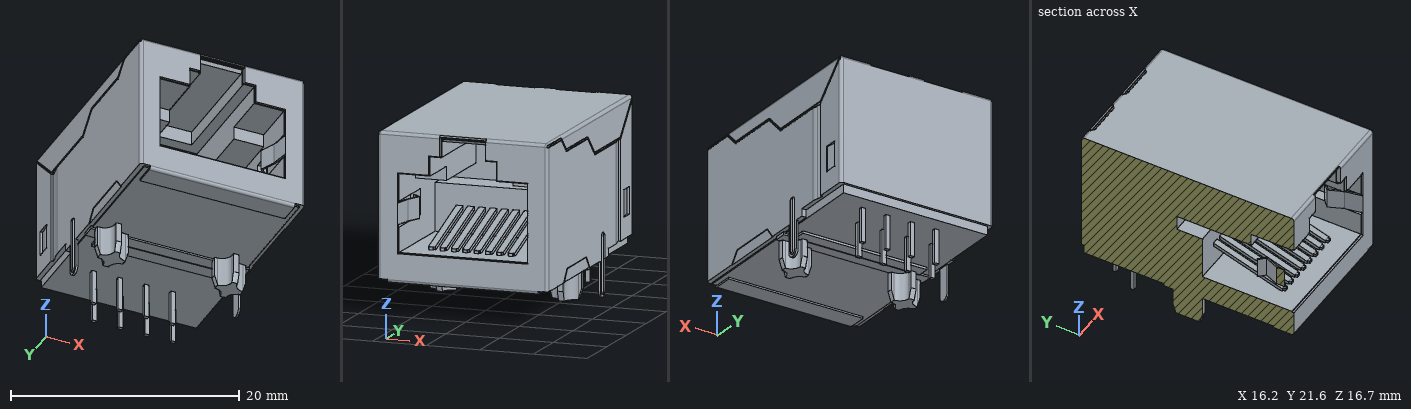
import cadquery as cq
import math


WIDTH = 16.18
LENGTH = 21.6
HEIGHT = 13.4
SHELL_HALF = 7.97
SHELL_BOTTOM = 0.13
SHEET = 0.2
BEND_RADIUS = 0.28
REAR_STEP_Y = 15.35
REAR_STEP_Z = 0.86
HOUSING_INSET = 0.24
HOUSING_HALF = 7.52
FRONT_TAB_HALF = 7.02
FRONT_TAB_LENGTH = 2.15
FRONT_TAB_DROP = 0.17

MOUTH_HALF = 6.07
SHOULDER_HALF = 3.2
LATCH_HALF = 2.15
MOUTH_FLOOR = 2.5
SHOULDER_Z = 9.75
LATCH_FLOOR = 11.47
LATCH_ROOF = 13.0
LIP = 0.09
CONTACT_WALL_Y = 9.29
CONTACT_WALL_TOP = 6.98
UPPER_WALL_Y = 11.88
SHOULDER_STOP_Y = 4.32
SHOULDER_STOP_Z = 8.4
LATCH_DEPTH = 10.8
LATCH_BEVEL = 0.25
LATCH_RIM_Z = 13.11
LATCH_RIM_LENGTH = 0.43

FINGER_Z = 5.08
FINGER_HEIGHT = 1.97
FINGER_SHEET = 0.17
FINGER_BEND_X = 5.75
FINGER_BEND_Y = 1.73
FINGER_TIP_X = 5.16
FINGER_TIP_Y = 3.13
FINGER_RETURN = 0.65
POCKET_Z = 4.85
POCKET_HEIGHT = 2.33
POCKET_LENGTH = 5.57
POCKET_DEPTH = 0.86

CONTACT_COUNT = 8
CONTACT_PITCH = 1.05
CONTACT_WIDTH = 0.63
CONTACT_TIP_WIDTH = 0.39
CONTACT_TIP_Y = 2.07
CONTACT_TIP_LENGTH = 0.43
CONTACT_THICKNESS = 0.35
CONTACT_REAR_TOP = 5.15

PIN_COUNT = 8
PIN_PITCH = 1.27
PIN_WIDTH = 0.43
PIN_THICKNESS = 0.35
PIN_ROWS_Y = (17.15, 19.7)
PIN_BOTTOM = -3.33

PEG_X = 5.68
PEG_Y = 10.8
PEG_RADIUS = 1.53
PEG_TIP_RADIUS = 1.23
PEG_ARM_HALF = 0.55 / 2
PEG_BOTTOM = -2.85
PEG_TAPER = 0.95

PAD_HALF = 6.48
PAD_FRONT_Y = 11.99
PAD_REAR_Y = 13.25
PAD_DROP = 0.24
STRIP_HALF = 7.67
STRIP_DROP = 0.17

LEG_Y = 13.87
LEG_WIDTH = 1.19
LEG_BOTTOM = -3.22
BEAD_WIDTH = 0.6
BEAD_TOP = 2.61
BEAD_BOTTOM = -2.98
BEAD_OUTER = WIDTH / 2
BEAD_BEVEL = 0.1

SEAM_DEPTH = 0.1
SEAM_GAP = 0.2
SEAM_TOP = 13.25
SEAM_MIDDLE = 11.97
SEAM_LOW = 10.17
SEAM_FRONT_Y = 3.41
SEAM_STEP_Y = 10.09
SEAM_REAR_Y = 18.34
JOG_LENGTH = 1.19
JOG_DEPTH = 0.2
WINDOW_Y = 19.29
WINDOW_LENGTH = 1.3
WINDOW_Z = 2.83
WINDOW_HEIGHT = 2.46
WINDOW_DEPTH = 0.22
WINDOW_STEP = 0.3
RELIEF_FRONT_Y = 4.1
RELIEF_REAR_Y = 10.6
RELIEF_TOP = 1.23
RELIEF_SLANT = 0.85
RELIEF_DEPTH = 0.06

NOTCH_INNER = 0.8
NOTCH_OUTER = 4.75
NOTCH_LENGTH = 0.52
NOTCH_SLANT = 0.28
NOTCH_DEPTH = 0.13
NOTCH_STEP_LENGTH = 0.25
NOTCH_STEP_DEPTH = 0.22


def block(x0, x1, y0, y1, z0, z1):
    return cq.Workplane("XY").box(x1 - x0, y1 - y0, z1 - z0, centered=False).translate((x0, y0, z0))


def centred_block(half, y0, y1, z0, z1):
    return block(-half, half, y0, y1, z0, z1)


def side_prism(points, x0, x1):
    """Extrude an outline of (y, z) points from x0 to x1."""
    return cq.Workplane("YZ").workplane(offset=x0).polyline(points).close().extrude(x1 - x0)


def both_sides(shape):
    return shape.union(shape.mirror("YZ"))


def spread(count, pitch):
    """Positions of a row centred on zero."""
    return [(i - (count - 1) / 2) * pitch for i in range(count)]


def make_body():
    shell = centred_block(SHELL_HALF, 0, LENGTH, SHELL_BOTTOM, HEIGHT)
    shell = shell.edges("|Z or >Z").fillet(BEND_RADIUS)
    shell = shell.cut(centred_block(SHELL_HALF, REAR_STEP_Y, LENGTH, 0, REAR_STEP_Z))
    housing = centred_block(HOUSING_HALF, HOUSING_INSET, LENGTH - HOUSING_INSET, 0, HEIGHT / 2)
    tab = centred_block(FRONT_TAB_HALF, 0, FRONT_TAB_LENGTH, -FRONT_TAB_DROP, MOUTH_FLOOR / 2)
    tab = tab.edges("<Y and <Z").fillet(BEND_RADIUS)
    pad = centred_block(PAD_HALF, PAD_FRONT_Y, PAD_REAR_Y, -PAD_DROP, SHEET)
    strip = centred_block(STRIP_HALF, PEG_Y, PAD_FRONT_Y, -STRIP_DROP, SHEET)
    return shell.union(housing).union(tab).union(pad).union(strip)


def opening_profile(inset, depth):
    """Stepped plug outline, shrunk by inset and cut to the given depth."""
    lower = centred_block(MOUTH_HALF - inset, 0, depth, MOUTH_FLOOR + inset, SHOULDER_Z - inset)
    middle = centred_block(SHOULDER_HALF - inset, 0, depth, MOUTH_FLOOR + inset, LATCH_FLOOR - inset)
    latch = centred_block(LATCH_HALF - inset, 0, depth, MOUTH_FLOOR + inset, LATCH_ROOF)
    return lower.union(middle).union(latch)


def make_cavity():
    cavity = opening_profile(LIP, UPPER_WALL_Y)
    contact_wall = centred_block(MOUTH_HALF, CONTACT_WALL_Y, UPPER_WALL_Y, 0, CONTACT_WALL_TOP)
    shoulder_stop = block(SHOULDER_HALF - LIP, MOUTH_HALF, SHOULDER_STOP_Y, UPPER_WALL_Y,
                          SHOULDER_STOP_Z, SHOULDER_Z)
    latch_stop = centred_block(LATCH_HALF, LATCH_DEPTH, UPPER_WALL_Y, LATCH_FLOOR - LIP, HEIGHT)
    latch_bevel = side_prism([(LATCH_RIM_LENGTH, LATCH_ROOF),
                              (LATCH_DEPTH, LATCH_ROOF),
                              (LATCH_DEPTH, LATCH_ROOF - LATCH_BEVEL),
                              (LATCH_RIM_LENGTH + LATCH_BEVEL, LATCH_ROOF - LATCH_BEVEL)],
                             -LATCH_HALF, LATCH_HALF)
    cavity = cavity.cut(contact_wall).cut(both_sides(shoulder_stop))
    cavity = cavity.cut(latch_stop).cut(latch_bevel)
    pocket = block(MOUTH_HALF - 2 * LIP, MOUTH_HALF + POCKET_DEPTH, SHEET, POCKET_LENGTH,
                   POCKET_Z, POCKET_Z + POCKET_HEIGHT)
    top_notch = centred_block(LATCH_HALF, 0, BEND_RADIUS, LATCH_FLOOR, HEIGHT - SHEET)
    rim_notch = centred_block(LATCH_HALF, 0, SHEET, LATCH_FLOOR, HEIGHT)
    rim_step = centred_block(LATCH_HALF, 0, LATCH_RIM_LENGTH, LATCH_FLOOR, LATCH_RIM_Z)
    cavity = cavity.union(opening_profile(0, SHEET)).union(both_sides(pocket))
    return cavity.union(top_notch).union(rim_notch).union(rim_step)


def make_fingers():
    """Bent strips that lean inward from the rim, then turn back toward the pocket."""
    inner = [(MOUTH_HALF, 0),
             (FINGER_BEND_X, FINGER_BEND_Y),
             (FINGER_TIP_X, FINGER_TIP_Y),
             (FINGER_TIP_X + FINGER_RETURN, FINGER_TIP_Y + FINGER_RETURN)]
    outer = [(x + FINGER_SHEET, y) for x, y in reversed(inner)]
    finger = (
        cq.Workplane("XY")
        .workplane(offset=FINGER_Z)
        .polyline(inner + outer)
        .close()
        .extrude(FINGER_HEIGHT)
    )
    return both_sides(finger)


def make_contacts():
    bar_front = CONTACT_TIP_Y + CONTACT_TIP_LENGTH / 2
    bar_outline = [(bar_front, MOUTH_FLOOR),
                   (bar_front, MOUTH_FLOOR + CONTACT_THICKNESS),
                   (CONTACT_WALL_Y + SHEET, CONTACT_REAR_TOP),
                   (CONTACT_WALL_Y + SHEET, CONTACT_REAR_TOP - CONTACT_THICKNESS)]
    bar = side_prism(bar_outline, -CONTACT_WIDTH / 2, CONTACT_WIDTH / 2)
    tip = centred_block(CONTACT_TIP_WIDTH / 2, CONTACT_TIP_Y, CONTACT_TIP_Y + CONTACT_TIP_LENGTH,
                        MOUTH_FLOOR, MOUTH_FLOOR + CONTACT_THICKNESS)
    contact = bar.union(tip)
    contacts = cq.Workplane("XY")
    for x in spread(CONTACT_COUNT, CONTACT_PITCH):
        contacts = contacts.add(contact.translate((x, 0, 0)))
    return contacts.combine()


def make_pins():
    pins = cq.Workplane("XY")
    for index, x in enumerate(spread(PIN_COUNT, PIN_PITCH)):
        y = PIN_ROWS_Y[index % len(PIN_ROWS_Y)]
        pin = block(x - PIN_WIDTH / 2, x + PIN_WIDTH / 2,
                    y - PIN_THICKNESS / 2, y + PIN_THICKNESS / 2, PIN_BOTTOM, SHEET)
        pins = pins.add(pin)
    return pins.combine()


def make_pegs():
    """Round pegs with a tapered tip and four concave flutes that leave a cross."""
    taper_top = PEG_BOTTOM + PEG_TAPER
    peg = (
        cq.Workplane("XZ")
        .polyline([(0, PEG_BOTTOM), (PEG_TIP_RADIUS, PEG_BOTTOM), (PEG_RADIUS, taper_top),
                   (PEG_RADIUS, SHEET), (0, SHEET)])
        .close()
        .revolve(360, (0, 0, 0), (0, 1, 0))
    )
    flute_radius = PEG_TIP_RADIUS - PEG_ARM_HALF
    flute = block(PEG_ARM_HALF, PEG_RADIUS, PEG_ARM_HALF, PEG_RADIUS, PEG_BOTTOM, 0)
    flute = flute.edges("|Z and <X and <Y").fillet(flute_radius)
    for turn in range(4):
        peg = peg.cut(flute.rotate((0, 0, 0), (0, 0, 1), 90 * turn))
    return both_sides(peg.translate((PEG_X, PEG_Y, 0)))


def upright_slot(x0, x1, width, z0, z1):
    """Round-ended strip in the plane of the side wall, centred on the leg."""
    return (
        cq.Workplane("YZ")
        .workplane(offset=x0)
        .center(LEG_Y, (z0 + z1) / 2)
        .slot2D(z1 - z0, width, 90)
        .extrude(x1 - x0)
    )


def make_legs():
    strip = upright_slot(SHELL_HALF - SHEET, SHELL_HALF, LEG_WIDTH, LEG_BOTTOM, BEAD_TOP)
    bead = upright_slot(SHELL_HALF - SHEET / 2, BEAD_OUTER, BEAD_WIDTH, BEAD_BOTTOM, BEAD_TOP)
    bead = bead.faces(">X").chamfer(BEAD_BEVEL)
    return both_sides(strip.union(bead))


def make_seam():
    """Gap between the top cover flange and the side wall of the shell."""
    upper = [(0, SEAM_TOP),
             (SEAM_FRONT_Y, SEAM_TOP),
             (SEAM_FRONT_Y + SEAM_TOP - SEAM_MIDDLE, SEAM_MIDDLE),
             (SEAM_STEP_Y, SEAM_MIDDLE),
             (SEAM_STEP_Y + SEAM_MIDDLE - SEAM_LOW, SEAM_LOW),
             (SEAM_REAR_Y, SEAM_LOW),
             (SEAM_REAR_Y + SEAM_TOP - SEAM_LOW, SEAM_TOP)]
    lower = [(y, z - SEAM_GAP) for y, z in reversed(upper)]
    return side_prism(upper + lower, SHELL_HALF - SEAM_DEPTH, SHELL_HALF)


def make_jog():
    """S-bend below the seam: the wall dips inward to pass under the rear flange."""
    front = SEAM_REAR_Y - JOG_LENGTH
    floor = SHELL_HALF - JOG_DEPTH
    half_sweep = math.atan(JOG_DEPTH / JOG_LENGTH)
    radius = (JOG_LENGTH**2 + JOG_DEPTH**2) / (4 * JOG_DEPTH)
    along = radius * math.sin(half_sweep)
    across = radius * (1 - math.cos(half_sweep))
    return (
        cq.Workplane("XY")
        .workplane(offset=REAR_STEP_Z)
        .moveTo(SHELL_HALF, SEAM_REAR_Y)
        .lineTo(floor, SEAM_REAR_Y)
        .threePointArc((floor + across, SEAM_REAR_Y - along),
                       (floor + JOG_DEPTH / 2, SEAM_REAR_Y - JOG_LENGTH / 2))
        .threePointArc((SHELL_HALF - across, front + along), (SHELL_HALF, front))
        .close()
        .extrude(SEAM_LOW - SEAM_GAP - REAR_STEP_Z)
    )


def make_window():
    """Latch window with a floor that slopes up toward the front."""
    rear = WINDOW_Y + WINDOW_LENGTH
    floor = SHELL_HALF - WINDOW_DEPTH
    return (
        cq.Workplane("XY")
        .workplane(offset=WINDOW_Z)
        .polyline([(SHELL_HALF, WINDOW_Y),
                   (SHELL_HALF - WINDOW_DEPTH / 2, WINDOW_Y),
                   (floor, rear - WINDOW_STEP),
                   (floor, rear),
                   (SHELL_HALF, rear)])
        .close()
        .extrude(WINDOW_HEIGHT)
    )


def make_relief():
    """Shallow trapezoid along the lower edge of the side wall."""
    outline = [(RELIEF_FRONT_Y, SHELL_BOTTOM),
               (RELIEF_FRONT_Y + RELIEF_SLANT, RELIEF_TOP),
               (RELIEF_REAR_Y - RELIEF_SLANT, RELIEF_TOP),
               (RELIEF_REAR_Y, SHELL_BOTTOM)]
    return side_prism(outline, SHELL_HALF - RELIEF_DEPTH, SHELL_HALF)


def make_notches():
    front = LENGTH - NOTCH_LENGTH
    notch = (
        cq.Workplane("XY")
        .workplane(offset=HEIGHT - NOTCH_DEPTH)
        .polyline([(NOTCH_INNER, LENGTH),
                   (NOTCH_INNER, front + NOTCH_SLANT),
                   (NOTCH_INNER + NOTCH_SLANT, front),
                   (NOTCH_OUTER - NOTCH_SLANT, front),
                   (NOTCH_OUTER, front + NOTCH_SLANT),
                   (NOTCH_OUTER, LENGTH)])
        .close()
        .extrude(NOTCH_DEPTH)
    )
    step = block(NOTCH_INNER, NOTCH_OUTER, LENGTH - NOTCH_STEP_LENGTH, LENGTH,
                 HEIGHT - NOTCH_STEP_DEPTH, HEIGHT)
    return both_sides(notch.union(step))


body = make_body().cut(make_cavity()).cut(make_notches())
for side_cut in (make_seam(), make_jog(), make_window(), make_relief()):
    body = body.cut(both_sides(side_cut))
for addition in (make_fingers(), make_contacts(), make_pins(), make_pegs(), make_legs()):
    body = body.union(addition)

result = body